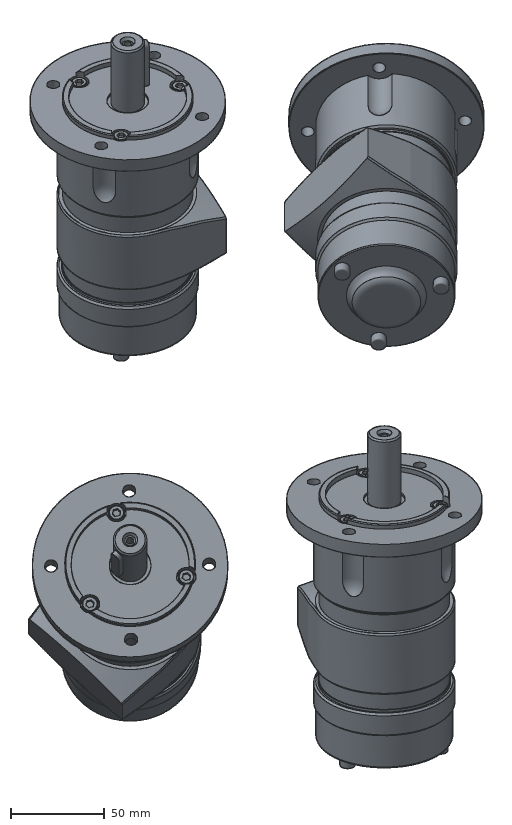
import cadquery as cq
import math

TOTAL_HEIGHT = 192.0
RIM_HEIGHT = 2.9
FLANGE_THICKNESS = 8.0
FLANGE_TOP = 152.0
FLANGE_BOTTOM = FLANGE_TOP - FLANGE_THICKNESS
GEARBOX_BOTTOM = 101.5
UPPER_LIP_BOTTOM = 100.2
STATOR_TOP = 89.7
STATOR_BOTTOM = 52.6
LOWER_LIP_TOP = 42.5
COLLAR_TOP = 41.0
COLLAR_BOTTOM = 27.3
REAR_BOTTOM = 7.5

FLANGE_DIAMETER = 105.0
FLANGE_RADIUS = FLANGE_DIAMETER / 2
BODY_RADIUS = 38.0
NECK_RADIUS = 35.1
LIP_RADIUS = 35.7
REAR_RADIUS = 36.9
EDGE_CHAMFER = 1.2
FINE_CHAMFER = 0.4
RIM_CHAMFER = 0.5

RIM_RADIUS = 35.1
RIM_INNER_RADIUS = 31.7
BOLT_CIRCLE_RADIUS = 42.5
BOLT_HOLE_RADIUS = 3.5
BOLT_ANGLES = (45, 135, 225, 315)

FLUTE_RADIUS = 8.0
FLUTE_STRAIGHT_BOTTOM = 119.0
FLUTE_TIP = 110.2
FLUTE_END_RADIUS = 12.0

BULGE_BASE_RADIUS = 21.5
BULGE_NECK_RADIUS = 20.5
BULGE_NECK_HEIGHT = 6.5
BULGE_CONCAVE_RADIUS = 5.8
BULGE_RADIUS = 18.5
BULGE_SHOULDER = 2.3
BULGE_FACE_RADIUS = 14.2
REAR_EDGE_CHAMFER = 0.8

BOX_REACH = 42.0
BOX_HALF_WIDTH = 35.1
BOX_TAPER_START = 14.8
BOX_SLOPE_ANGLE = 20.0
BOX_BEVEL = 0.8
CONE_START_RADIUS = 37.0
CONE_MARGIN = 2.0

SCREW_CIRCLE_RADIUS = 31.0
SCREW_ANGLES = (90, 212, 328)
SCREW_HEAD_RADIUS = 4.2
SCREW_HEAD_FILLET = 1.0
SCREW_HEAD_CHAMFER = 0.4
SCREW_HEAD_BOTTOM = 2.1
SCREW_POCKET_RADIUS = 5.2
SCREW_POCKET_FLOOR = 148.2
SCREW_HEAD_TOP = FLANGE_TOP
SOCKET_WIDTH_OVER_CORNERS = 4.6
SOCKET_SIDES = 6
SOCKET_DEPTH = 2.0

SHAFT_RADIUS = 9.0
SHAFT_CHAMFER = 1.0
SHAFT_BOTTOM = FLANGE_BOTTOM
SEAL_RECESS_RADIUS = 11.1
SEAL_RECESS_DEPTH = 1.3
CENTRE_MOUTH_RADIUS = 4.0
CENTRE_BORE_RADIUS = 2.0
CENTRE_STEP_RADIUS = 2.9
CENTRE_CONE_DEPTH = 1.7
CENTRE_BORE_DEPTH = 11.5
CENTRE_TIP_DEPTH = 12.7

KEY_WIDTH = 6.0
KEY_LENGTH = 30.0
KEY_HEIGHT = 6.0
KEY_OUTER_FACE = 11.5
KEY_BOTTOM = 159.0


def cylinder(radius, bottom, top, x=0.0, y=0.0):
    return cq.Workplane("XY", origin=(x, y, bottom)).circle(radius).extrude(top - bottom)


def polar_points(radius, angles):
    return [
        (radius * math.cos(math.radians(a)), radius * math.sin(math.radians(a)))
        for a in angles
    ]


def make_turned_body():
    """Flange, gearbox, necks, collar and rear cap as one turned profile."""
    profile = (
        cq.Workplane("XZ")
        .moveTo(0, 0)
        .lineTo(BULGE_FACE_RADIUS, 0)
        .tangentArcPoint((BULGE_RADIUS, BULGE_SHOULDER), relative=False)
        .radiusArc((BULGE_NECK_RADIUS, BULGE_NECK_HEIGHT), BULGE_CONCAVE_RADIUS)
        .lineTo(BULGE_BASE_RADIUS, REAR_BOTTOM)
        .lineTo(REAR_RADIUS - FINE_CHAMFER, REAR_BOTTOM)
        .lineTo(REAR_RADIUS, REAR_BOTTOM + REAR_EDGE_CHAMFER)
        .lineTo(REAR_RADIUS, COLLAR_BOTTOM)
        .lineTo(BODY_RADIUS, COLLAR_BOTTOM + EDGE_CHAMFER)
        .lineTo(BODY_RADIUS, COLLAR_TOP - EDGE_CHAMFER)
        .lineTo(BODY_RADIUS - EDGE_CHAMFER, COLLAR_TOP)
        .lineTo(LIP_RADIUS, COLLAR_TOP)
        .lineTo(LIP_RADIUS, LOWER_LIP_TOP)
        .lineTo(NECK_RADIUS, LOWER_LIP_TOP)
        .lineTo(NECK_RADIUS, UPPER_LIP_BOTTOM)
        .lineTo(LIP_RADIUS, UPPER_LIP_BOTTOM)
        .lineTo(LIP_RADIUS, GEARBOX_BOTTOM)
        .lineTo(BODY_RADIUS - EDGE_CHAMFER, GEARBOX_BOTTOM)
        .lineTo(BODY_RADIUS, GEARBOX_BOTTOM + EDGE_CHAMFER)
        .lineTo(BODY_RADIUS, FLANGE_BOTTOM)
        .lineTo(FLANGE_RADIUS - FINE_CHAMFER, FLANGE_BOTTOM)
        .lineTo(FLANGE_RADIUS, FLANGE_BOTTOM + FINE_CHAMFER)
        .lineTo(FLANGE_RADIUS, FLANGE_TOP)
        .lineTo(0, FLANGE_TOP)
        .close()
    )
    return profile.revolve(360, (0, 0), (0, 1))


def make_stator():
    """Stator barrel with the terminal box, sloped by shallow cones above and below."""
    height = STATOR_TOP - STATOR_BOTTOM
    block = (
        cq.Workplane("XY", origin=(0, 0, STATOR_BOTTOM))
        .moveTo(-BODY_RADIUS, 0)
        .threePointArc((0, -BODY_RADIUS), (BODY_RADIUS, 0))
        .lineTo(BODY_RADIUS, BOX_TAPER_START)
        .lineTo(BOX_HALF_WIDTH, BOX_REACH)
        .lineTo(-BOX_HALF_WIDTH, BOX_REACH)
        .lineTo(-BODY_RADIUS, BOX_TAPER_START)
        .close()
        .extrude(height)
    )
    cone_reach = math.hypot(BOX_HALF_WIDTH, BOX_REACH) + CONE_MARGIN
    drop = (cone_reach - CONE_START_RADIUS) * math.tan(math.radians(BOX_SLOPE_ANGLE))
    envelope = (
        cq.Workplane("XZ")
        .moveTo(0, STATOR_BOTTOM)
        .lineTo(CONE_START_RADIUS, STATOR_BOTTOM)
        .lineTo(cone_reach, STATOR_BOTTOM + drop)
        .lineTo(cone_reach, STATOR_TOP - drop)
        .lineTo(CONE_START_RADIUS, STATOR_TOP)
        .lineTo(0, STATOR_TOP)
        .close()
        .revolve(360, (0, 0), (0, 1))
    )
    stator = block.intersect(envelope)
    front_barrel_edges = stator.edges("%CIRCLE").edges("<Y")
    box_side_edges = stator.edges("%HYPERBOLA").edges("not >Y")
    return front_barrel_edges.add(box_side_edges).chamfer(BOX_BEVEL)


def make_rim():
    top = FLANGE_TOP + RIM_HEIGHT
    return (
        cylinder(RIM_RADIUS, FLANGE_TOP, top)
        .faces(">Z").edges().chamfer(RIM_CHAMFER)
        .cut(cylinder(RIM_INNER_RADIUS, FLANGE_TOP, top))
    )


def make_flute():
    """Round-ended clearance cutter, centred on its own vertical axis."""
    tip_radius = FLUTE_RADIUS - FLUTE_END_RADIUS + math.sqrt(
        FLUTE_END_RADIUS**2 - (FLUTE_STRAIGHT_BOTTOM - FLUTE_TIP) ** 2
    )
    return (
        cq.Workplane("XZ")
        .moveTo(0, FLUTE_TIP)
        .lineTo(tip_radius, FLUTE_TIP)
        .radiusArc((FLUTE_RADIUS, FLUTE_STRAIGHT_BOTTOM), -FLUTE_END_RADIUS)
        .lineTo(FLUTE_RADIUS, FLANGE_BOTTOM)
        .lineTo(0, FLANGE_BOTTOM)
        .close()
        .revolve(360, (0, 0), (0, 1))
    )


def add_bolt_holes(housing):
    """Flange bolt holes, each with a flute down the gearbox wall below it."""
    for x, y in polar_points(BOLT_CIRCLE_RADIUS, BOLT_ANGLES):
        housing = housing.cut(make_flute().translate((x, y, 0)))
        housing = housing.cut(cylinder(BOLT_HOLE_RADIUS, FLANGE_BOTTOM, FLANGE_TOP, x, y))
    return housing


def add_screws(housing):
    """Socket heads sunk in the flange, and plain heads under the rear cap."""
    for x, y in polar_points(SCREW_CIRCLE_RADIUS, SCREW_ANGLES):
        pocket = cylinder(SCREW_POCKET_RADIUS, SCREW_POCKET_FLOOR, TOTAL_HEIGHT, x, y)
        upper_head = (
            cylinder(SCREW_HEAD_RADIUS, SCREW_POCKET_FLOOR, SCREW_HEAD_TOP, x, y)
            .faces(">Z").edges().chamfer(SCREW_HEAD_CHAMFER)
            .faces(">Z").workplane().polygon(SOCKET_SIDES, SOCKET_WIDTH_OVER_CORNERS)
            .cutBlind(-SOCKET_DEPTH)
        )
        lower_head = (
            cylinder(SCREW_HEAD_RADIUS, SCREW_HEAD_BOTTOM, REAR_BOTTOM, x, y)
            .faces("<Z").edges().fillet(SCREW_HEAD_FILLET)
        )
        housing = housing.cut(pocket).union(upper_head).union(lower_head)
    return housing


def make_housing():
    housing = make_turned_body().union(make_stator()).union(make_rim())
    housing = add_bolt_holes(housing)
    housing = add_screws(housing)
    seal_recess = cylinder(SEAL_RECESS_RADIUS, FLANGE_TOP - SEAL_RECESS_DEPTH, FLANGE_TOP)
    shaft_hole = cylinder(SHAFT_RADIUS, SHAFT_BOTTOM, FLANGE_TOP)
    return housing.cut(seal_recess).cut(shaft_hole)


def make_key():
    return (
        cq.Workplane("XZ", origin=(0, KEY_OUTER_FACE, KEY_BOTTOM + KEY_LENGTH / 2))
        .slot2D(KEY_LENGTH, KEY_WIDTH, 90)
        .extrude(KEY_HEIGHT)
    )


def make_shaft(key):
    shaft = (
        cylinder(SHAFT_RADIUS, SHAFT_BOTTOM, TOTAL_HEIGHT)
        .faces(">Z").edges().chamfer(SHAFT_CHAMFER)
    )
    centre_hole = (
        cq.Workplane("XZ")
        .moveTo(0, TOTAL_HEIGHT)
        .lineTo(CENTRE_MOUTH_RADIUS, TOTAL_HEIGHT)
        .lineTo(CENTRE_STEP_RADIUS, TOTAL_HEIGHT - CENTRE_CONE_DEPTH)
        .lineTo(CENTRE_BORE_RADIUS, TOTAL_HEIGHT - CENTRE_CONE_DEPTH)
        .lineTo(CENTRE_BORE_RADIUS, TOTAL_HEIGHT - CENTRE_BORE_DEPTH)
        .lineTo(0, TOTAL_HEIGHT - CENTRE_TIP_DEPTH)
        .close()
        .revolve(360, (0, 0), (0, 1))
    )
    return shaft.cut(centre_hole).cut(key)


housing = make_housing()
key = make_key()
shaft = make_shaft(key)

result = cq.Compound.makeCompound(
    [housing.solids().val(), shaft.solids().val(), key.solids().val()]
)